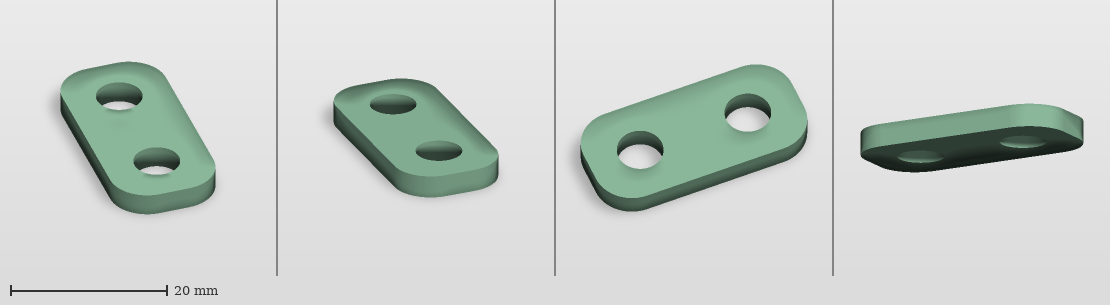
import cadquery as cq

length = 29.0
width = 13.98
thickness = 3.0
corner_radius = 5.0

hole_diameter = 6.0
hole_spacing = 15.0

plate = (
    cq.Workplane("XY")
    .box(length, width, thickness)
    .edges("|Z")
    .fillet(corner_radius)
)

result = (
    plate.faces(">Z")
    .workplane()
    .pushPoints([(-hole_spacing / 2, 0), (hole_spacing / 2, 0)])
    .hole(hole_diameter)
)